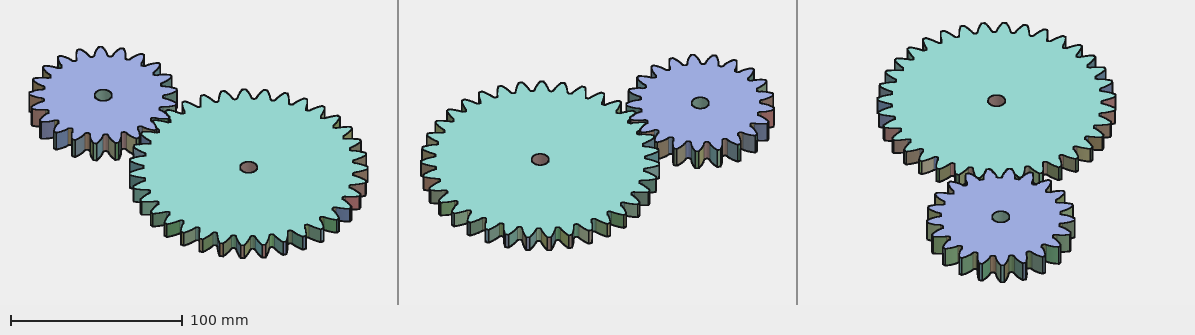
import cadquery as cq
import math

overall_length = 217.3
pinion_teeth = 21
wheel_teeth = 35
pressure_angle = math.radians(25)
addendum = 1.0
root_clearance = 0.25
dedendum = addendum + root_clearance
pinion_width = 13.0
wheel_width = 10.0
bore_diameter = 10.0

flank_points = 9
halving_steps = 50



def base_radius_of(teeth):
    return teeth / 2 * math.cos(pressure_angle)


def involute(angle):
    """Polar angle swept by an involute where its local pressure angle is `angle`."""
    return math.tan(angle) - angle


def half_tooth_angle(teeth, radius):
    """Half the angle that a tooth spans at a radius on or outside the base circle."""
    local_angle = math.acos(base_radius_of(teeth) / radius)
    return math.pi / (2 * teeth) + involute(pressure_angle) - involute(local_angle)


def root_round(teeth):
    """Radius of the arc that touches both flanks of a gap and the root circle.

    The arc centre lies on the gap's centre line and on an offset of the flank. An offset
    involute is the same involute turned by the offset divided by the base radius.
    """
    base_radius = base_radius_of(teeth)
    root_radius = teeth / 2 - dedendum
    low = max(0.0, base_radius - root_radius)
    high = dedendum
    for _ in range(halving_steps):
        radius = (low + high) / 2
        centre_angle = half_tooth_angle(teeth, root_radius + radius) + radius / base_radius
        if centre_angle < math.pi / teeth:
            low = radius
        else:
            high = radius
    return low


def flank_start_radius(teeth):
    """Distance from the gear axis to the point where a flank runs into the root arc."""
    base_radius = base_radius_of(teeth)
    arc_radius = root_round(teeth)
    arc_centre = teeth / 2 - dedendum + arc_radius
    return math.hypot(base_radius, math.sqrt(arc_centre**2 - base_radius**2) - arc_radius)


pinion_tip = pinion_teeth / 2 + addendum
wheel_tip = wheel_teeth / 2 + addendum
wheel_corner_angle = math.pi / wheel_teeth - half_tooth_angle(wheel_teeth, wheel_tip)
centre_distance_in_modules = (pinion_teeth + wheel_teeth) / 2
module = overall_length / (
    pinion_tip + centre_distance_in_modules + wheel_tip * math.cos(wheel_corner_angle)
)
centre_distance = centre_distance_in_modules * module


def polar(radius, angle):
    """Point at a radius given in modules and a polar angle."""
    return (radius * module * math.cos(angle), radius * module * math.sin(angle))


def gear_outline(teeth):
    """Closed outline of an involute gear that has one tooth centred on the -X axis."""
    pitch = 2 * math.pi / teeth
    tip_radius = teeth / 2 + addendum
    root_radius = teeth / 2 - dedendum
    flank_start = flank_start_radius(teeth)
    step = (tip_radius - flank_start) / (flank_points - 1)
    flank = [flank_start + i * step for i in range(flank_points)]
    half_angles = [half_tooth_angle(teeth, radius) for radius in flank]
    half_base = half_angles[0]

    outline = cq.Workplane("XY").moveTo(*polar(flank_start, math.pi - half_base))
    for i in range(teeth):
        centre = math.pi + i * pitch
        rising = [polar(r, centre - half) for r, half in zip(flank, half_angles)]
        falling = [polar(r, centre + half) for r, half in zip(flank, half_angles)][::-1]
        next_flank = polar(flank_start, centre + pitch - half_base)
        outline = (
            outline.spline(rising[1:], includeCurrent=True)
            .threePointArc(polar(tip_radius, centre), falling[0])
            .spline(falling[1:], includeCurrent=True)
            .threePointArc(polar(root_radius, centre + pitch / 2), next_flank)
        )
    return outline.close()


def make_gear(teeth, width):
    """Spur gear on the Z axis, centred on the XY plane, with a through bore."""
    gear = gear_outline(teeth).extrude(width)
    gear = gear.faces(">Z").workplane(origin=(0, 0, width)).hole(bore_diameter)
    return gear.translate((0, 0, -width / 2)).solids()


pinion = make_gear(pinion_teeth, pinion_width)
wheel = make_gear(wheel_teeth, wheel_width).translate((centre_distance, 0, 0))

result = cq.Compound.makeCompound([pinion.val(), wheel.val()])